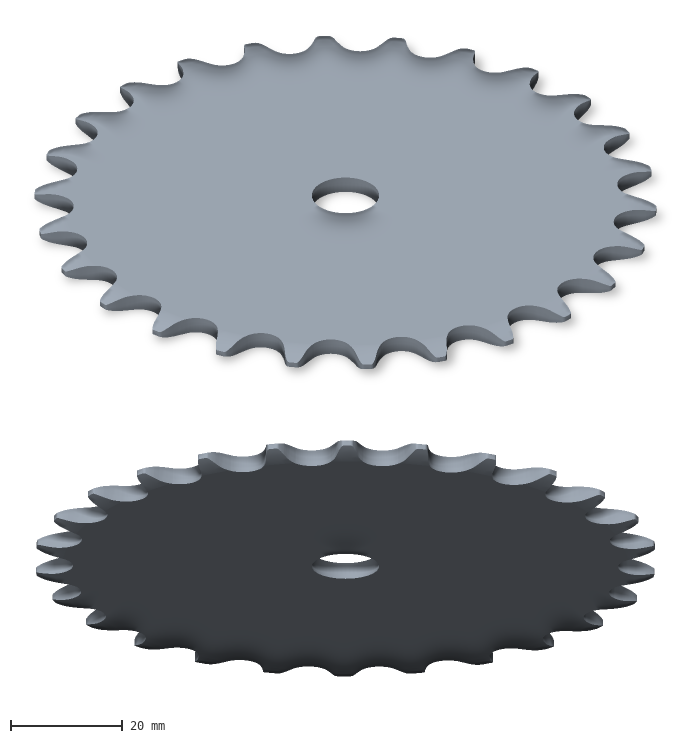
import cadquery as cq
import math

tooth_count = 26
tip_radius = 55.6
thickness = 3.0
bore_diameter = 12.0

chain_pitch = 12.7
roller_diameter = 7.8
seat_radius = 3.9
working_radius = 10.1
topping_radius = 6.3
tip_fillet = 0.6
working_angle = math.radians(18 - 56 / tooth_count)
seat_half_angle = math.radians(55 - 60 / tooth_count)
topping_angle = math.radians(17 - 64 / tooth_count)
straight_length = roller_diameter * (1.4 * math.sin(topping_angle) - 0.8 * math.sin(working_angle))

bevel_start_radius = 50.6
bevel_arc_radius = 12.7
rim_clearance = 0.2

tooth_angle = 2 * math.pi / tooth_count
pitch_radius = chain_pitch / (2 * math.sin(tooth_angle / 2))


def offset_point(point, distance, slope):
    """Move inwards and sideways, with the slope measured from the bottom of the gap."""
    x, y = point
    return x - distance * math.cos(slope), y + distance * math.sin(slope)


def flank_points():
    """Points along one flank, for a tooth gap whose middle lies on the X axis."""
    flank_slope = seat_half_angle + working_angle
    middle_slope = seat_half_angle + working_angle / 2

    seat_centre = (pitch_radius, 0)
    seat_end = offset_point(seat_centre, seat_radius, seat_half_angle)
    working_centre = offset_point(seat_end, -working_radius, seat_half_angle)
    working_middle = offset_point(working_centre, working_radius, middle_slope)
    working_end = offset_point(working_centre, working_radius, flank_slope)
    straight_end = offset_point(working_end, straight_length, flank_slope + math.pi / 2)
    topping_centre = offset_point(straight_end, topping_radius, flank_slope)

    centre_distance = math.hypot(*topping_centre)
    centre_angle = math.atan2(topping_centre[1], topping_centre[0])

    def topping_point(radius):
        cosine = (radius**2 + centre_distance**2 - topping_radius**2) / (2 * radius * centre_distance)
        angle = centre_angle - math.acos(cosine)
        return radius * math.cos(angle), radius * math.sin(angle)

    topping_middle = topping_point((math.hypot(*straight_end) + tip_radius) / 2)
    topping_end = topping_point(tip_radius)
    return seat_end, working_middle, working_end, straight_end, topping_middle, topping_end


def toothed_plate():
    flank = flank_points()

    def rotated(point, angle):
        x, y = point
        cosine, sine = math.cos(angle), math.sin(angle)
        return x * cosine - y * sine, x * sine + y * cosine

    def mirrored(point):
        return point[0], -point[1]

    seat_bottom = (pitch_radius - seat_radius, 0)
    first_gap = tooth_angle / 2
    outline = cq.Workplane("XY", origin=(0, 0, -thickness / 2))
    outline = outline.moveTo(*rotated(mirrored(flank[0]), first_gap))
    for index in range(tooth_count):
        gap = first_gap + index * tooth_angle
        rising = [rotated(point, gap) for point in flank]
        falling = [rotated(mirrored(point), gap + tooth_angle) for point in flank]
        outline = (
            outline
            .threePointArc(rotated(seat_bottom, gap), rising[0])
            .threePointArc(rising[1], rising[2])
            .lineTo(*rising[3])
            .threePointArc(rising[4], rising[5])
            .threePointArc(rotated((tip_radius, 0), gap + tooth_angle / 2), falling[5])
            .threePointArc(falling[4], falling[3])
            .lineTo(*falling[2])
            .threePointArc(falling[1], falling[0])
        )
    plate = outline.close().extrude(thickness)

    corner_limit = tip_radius - tip_fillet
    tip_corners = plate.edges("|Z").filter(
        lambda edge: math.hypot(edge.Center().x, edge.Center().y) > corner_limit
    )
    return tip_corners.fillet(tip_fillet)


def bevel_envelope():
    """Disc whose rim curves in from both faces, tangent to them where the bevel starts."""
    half = thickness / 2

    def rim_height(radius):
        run = radius - bevel_start_radius
        return half - bevel_arc_radius + math.sqrt(bevel_arc_radius**2 - run**2)

    rim_radius = tip_radius + rim_clearance
    middle_radius = (bevel_start_radius + rim_radius) / 2
    middle_height = rim_height(middle_radius)
    rim_edge_height = rim_height(rim_radius)
    return (
        cq.Workplane("XZ")
        .moveTo(0, -half)
        .lineTo(bevel_start_radius, -half)
        .threePointArc((middle_radius, -middle_height), (rim_radius, -rim_edge_height))
        .lineTo(rim_radius, rim_edge_height)
        .threePointArc((middle_radius, middle_height), (bevel_start_radius, half))
        .lineTo(0, half)
        .close()
        .revolve(360, (0, 0, 0), (0, 1, 0))
    )


bore = (
    cq.Workplane("XY", origin=(0, 0, -thickness / 2))
    .circle(bore_diameter / 2)
    .extrude(thickness)
)

result = toothed_plate().intersect(bevel_envelope()).cut(bore)